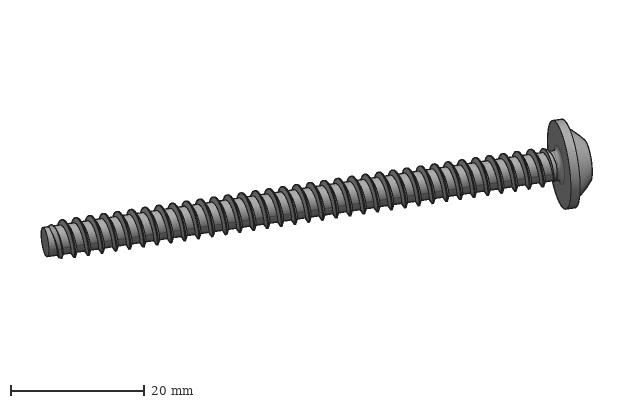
import cadquery as cq

total_length = 84.2

flange_diameter = 13.5
flange_thickness = 1.4
dome_base_radius = 5.9
dome_flat_radius = 3.2
dome_height = 2.9
dome_bulge = 0.12

shank_diameter = 4.5
neck_fillet = 0.75

thread_turns = 36.7
thread_diameter = 5.9
thread_base_width = 1.1
thread_crest_width = 0.2
thread_root_overlap = 0.2
thread_phase_height = 1.7
tip_fade_start = 0.6
tip_fade_length = 2.35
neck_fade_start = neck_fillet
neck_fade_length = 2.0

shank_length = total_length - flange_thickness - dome_height
flange_top = shank_length + flange_thickness
flange_radius = flange_diameter / 2
shank_radius = shank_diameter / 2
thread_radius = thread_diameter / 2
threaded_length = shank_length - tip_fade_start - neck_fade_start
thread_pitch = threaded_length / thread_turns


def make_body():
    """Shank, neck fillet, flange and dome as one revolved profile, with the tip at Z = 0."""
    run = dome_base_radius - dome_flat_radius
    chord = (dome_height**2 + run**2) ** 0.5
    dome_middle = (
        dome_base_radius - run / 2 + dome_bulge * dome_height / chord,
        flange_top + dome_height / 2 + dome_bulge * run / chord,
    )
    profile = (
        cq.Workplane("XZ")
        .lineTo(shank_radius, 0)
        .lineTo(shank_radius, shank_length - neck_fillet)
        .radiusArc((shank_radius + neck_fillet, shank_length), neck_fillet)
        .lineTo(flange_radius, shank_length)
        .lineTo(flange_radius, flange_top)
        .lineTo(dome_base_radius, flange_top)
        .threePointArc(dome_middle, (dome_flat_radius, total_length))
        .lineTo(0, total_length)
        .close()
    )
    return profile.revolve(360, (0, 0), (0, 1))


def make_thread_envelope():
    """Solid the thread must stay inside: a cylinder whose cones fade the thread out at both ends."""
    inner_radius = shank_radius - thread_root_overlap / 2
    outer_radius = thread_radius + thread_root_overlap
    neck_end = shank_length - neck_fade_start
    profile = (
        cq.Workplane("XZ")
        .moveTo(0, tip_fade_start)
        .lineTo(inner_radius, tip_fade_start)
        .lineTo(outer_radius, tip_fade_start + tip_fade_length)
        .lineTo(outer_radius, neck_end - neck_fade_length)
        .lineTo(inner_radius, neck_end)
        .lineTo(0, neck_end)
        .close()
    )
    return profile.revolve(360, (0, 0), (0, 1))


def make_thread():
    """Trapezoidal ridge swept along a helix and trimmed to fade out at both ends."""
    start_height = thread_phase_height - thread_pitch
    root_radius = shank_radius - thread_root_overlap
    half_base = thread_base_width / 2
    half_crest = thread_crest_width / 2
    ridge_outline = [
        (root_radius, -half_base),
        (thread_radius, -half_crest),
        (thread_radius, half_crest),
        (root_radius, half_base),
    ]
    helix = cq.Wire.makeHelix(thread_pitch, shank_length - start_height, shank_radius)
    ridge = (
        cq.Workplane("XZ")
        .polyline(ridge_outline)
        .close()
        .sweep(cq.Workplane(helix), isFrenet=True)
        .translate((0, 0, start_height))
    )
    return ridge.intersect(make_thread_envelope())


upright = make_body().union(make_thread())
result = upright.translate((0, 0, -shank_length)).rotate((0, 0, 0), (1, 0, 0), -90)